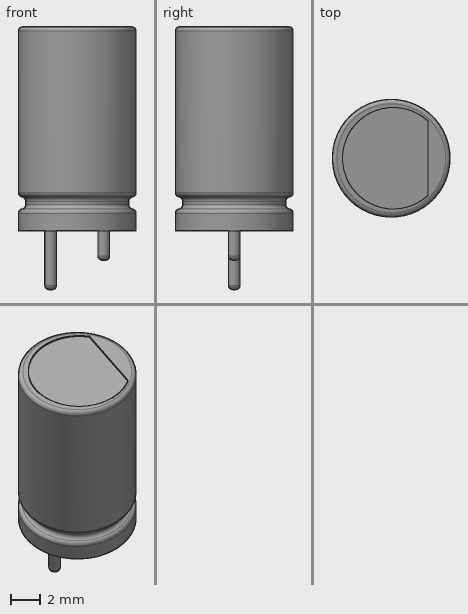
import cadquery as cq

can_diameter = 8.0
total_height = 17.85
long_pin_length = 4.0
can_height = total_height - long_pin_length
edge_radius = 0.3

groove_floor_diameter = 7.0
groove_center_height = 1.9
groove_floor_width = 0.21
groove_corner_radius = 0.3

recess_radius = 3.45
recess_offset = 0.15
recess_flat_position = 2.5
recess_depth = 0.1

pin_diameter = 0.8
pin_spacing = 3.6
short_pin_length = 2.0
pin_tip_radius = 0.3

can_radius = can_diameter / 2


def make_can():
    """Plain cylinder standing on Z = 0 with a rounded top edge."""
    can = cq.Workplane("XY").circle(can_radius).extrude(can_height)
    return can.faces(">Z").edges().fillet(edge_radius)


def make_groove():
    """Ring with a flat floor and two S-shaped sides, each made of two tangent arcs."""
    floor_radius = groove_floor_diameter / 2
    radius = groove_corner_radius
    half_floor = groove_floor_width / 2

    inner_center = floor_radius + radius
    outer_center = can_radius - radius
    center_step = ((2 * radius) ** 2 - (outer_center - inner_center) ** 2) ** 0.5
    half_width = half_floor + center_step
    cutter_radius = can_radius + radius

    meeting_radius = (inner_center + outer_center) / 2
    meeting_height = (half_floor + half_width) / 2

    def point(distance, height):
        return (distance, groove_center_height + height)

    profile = (
        cq.Workplane("XZ")
        .moveTo(*point(floor_radius, -half_floor))
        .lineTo(*point(floor_radius, half_floor))
        .tangentArcPoint(point(meeting_radius, meeting_height), relative=False)
        .tangentArcPoint(point(can_radius, half_width), relative=False)
        .lineTo(*point(cutter_radius, half_width))
        .lineTo(*point(cutter_radius, -half_width))
        .lineTo(*point(can_radius, -half_width))
        .radiusArc(point(meeting_radius, -meeting_height), -radius)
        .radiusArc(point(floor_radius, -half_floor), radius)
        .close()
    )
    return profile.revolve(360, (0, 0, 0), (0, 1, 0))


def make_recess():
    """Offset disc trimmed by a straight side facing +X."""
    disc = cq.Workplane("XY").center(recess_offset, 0).circle(recess_radius).extrude(recess_depth)
    kept_side = (
        cq.Workplane("XY")
        .center(recess_flat_position - can_radius, 0)
        .rect(can_diameter, can_diameter)
        .extrude(recess_depth)
    )
    return disc.intersect(kept_side).translate((0, 0, can_height - recess_depth))


def make_pin(x, length):
    """Pin hanging from the base at the given X, with a rounded lower end."""
    pin = cq.Workplane("XY").center(x, 0).circle(pin_diameter / 2).extrude(-length)
    return pin.faces("<Z").edges().fillet(pin_tip_radius)


result = (
    make_can()
    .cut(make_groove())
    .cut(make_recess())
    .union(make_pin(-pin_spacing / 2, long_pin_length))
    .union(make_pin(pin_spacing / 2, short_pin_length))
)